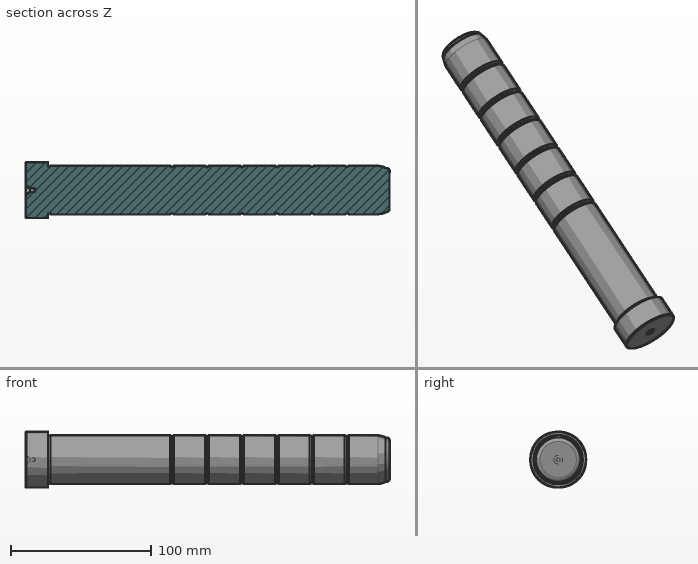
import cadquery as cq

length = 260.0
head_diameter = 40.0
head_length = 16.0
head_edge_chamfer = 0.5
shank_diameter = 35.0
shank_radius = shank_diameter / 2

undercut_width = 1.5
undercut_depth = 0.5

groove_count = 6
groove_pitch = 25.0
groove_width = 3.0
groove_depth = 1.0
first_groove_center = 104.5

lead_in_start = 251.5
lead_in_shoulder = 257.0
lead_in_drop = 1.5
lead_in_bulge = 0.3
tip_radius = 13.0
tip_round_bulge = 0.65

center_mouth_diameter = 6.2
center_pilot_diameter = 2.5
center_cone_length = 3.0
center_depth = 6.2
center_tip_length = 0.8


def pin_body():
    """Headed pin turned about the X axis, with an undercut and a rounded tip."""
    head_radius = head_diameter / 2
    undercut_end = head_length + undercut_width
    undercut_radius = shank_radius - undercut_depth
    shoulder_radius = shank_radius - lead_in_drop
    lead_in_middle = (
        (lead_in_start + lead_in_shoulder) / 2,
        (shank_radius + shoulder_radius) / 2 + lead_in_bulge,
    )
    tip_middle = (
        (lead_in_shoulder + length) / 2 + tip_round_bulge,
        (shoulder_radius + tip_radius) / 2 + tip_round_bulge,
    )
    return (
        cq.Workplane("XY")
        .moveTo(0, 0)
        .lineTo(0, head_radius - head_edge_chamfer)
        .lineTo(head_edge_chamfer, head_radius)
        .lineTo(head_length, head_radius)
        .lineTo(head_length, undercut_radius)
        .lineTo(undercut_end, undercut_radius)
        .lineTo(undercut_end, shank_radius)
        .lineTo(lead_in_start, shank_radius)
        .threePointArc(lead_in_middle, (lead_in_shoulder, shoulder_radius))
        .threePointArc(tip_middle, (length, tip_radius))
        .lineTo(length, 0)
        .close()
        .revolve(360, (0, 0, 0), (1, 0, 0))
    )


def oil_groove(center):
    """Ring with a V-shaped section, centred at the given X."""
    half_width = groove_width / 2
    return (
        cq.Workplane("XY")
        .moveTo(center - half_width, shank_radius)
        .lineTo(center, shank_radius - groove_depth)
        .lineTo(center + half_width, shank_radius)
        .close()
        .revolve(360, (0, 0, 0), (1, 0, 0))
    )


def center_hole():
    """Tapered centre in the head face, running on into a small pilot with a conical bottom."""
    pilot_radius = center_pilot_diameter / 2
    return (
        cq.Workplane("XY")
        .moveTo(0, 0)
        .lineTo(0, center_mouth_diameter / 2)
        .lineTo(center_cone_length, pilot_radius)
        .lineTo(center_depth, pilot_radius)
        .lineTo(center_depth + center_tip_length, 0)
        .close()
        .revolve(360, (0, 0, 0), (1, 0, 0))
    )


result = pin_body()
for index in range(groove_count):
    result = result.cut(oil_groove(first_groove_center + index * groove_pitch))
result = result.cut(center_hole())